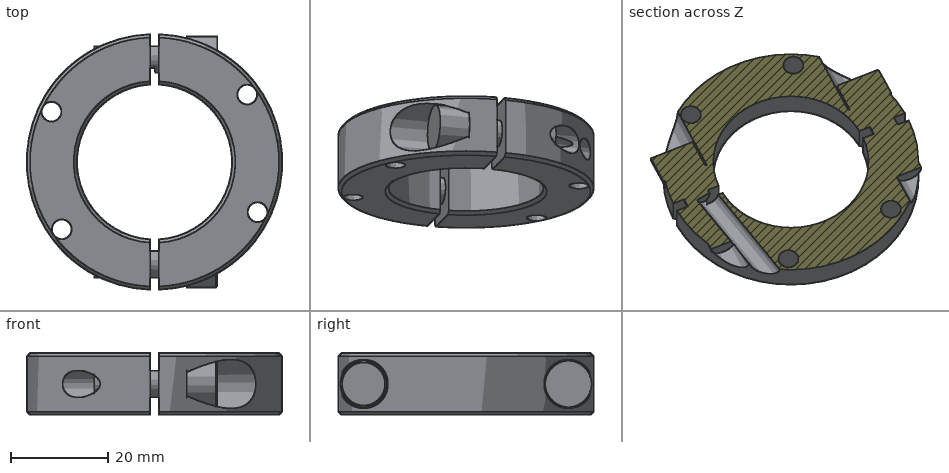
import cadquery as cq
import math

outer_radius = 26.225
bore_radius = 15.875
collar_width = 12.7
edge_chamfer = 0.7
split_gap = 1.8

screw_offset = 21.0
screw_diameter = 5.5
screw_tip_x = -12.4
head_diameter = 9.5
head_seat_x = 6.6
head_length = 6.3
head_chamfer = 0.35
counterbore_diameter = 10.0

face_hole_diameter = 4.0
face_hole_radius = 23.5
face_hole_angles = (36, 154, 216, 334)

cross_hole_diameter = 4.2
cross_hole_tilt = 10
cross_hole_end = (0, 19.2, 0)

reach = 2 * outer_radius


def x_cylinder(diameter, start_x, length, y):
    """Cylinder along +X that starts at start_x, at height Z = 0."""
    plane = cq.Plane(origin=(start_x, y, 0), xDir=(0, 1, 0), normal=(1, 0, 0))
    return cq.Workplane(plane).circle(diameter / 2).extrude(length)


def make_split_ring():
    ring = (
        cq.Workplane("XY")
        .circle(outer_radius)
        .circle(bore_radius)
        .extrude(collar_width / 2, both=True)
        .faces("|Z")
        .edges()
        .chamfer(edge_chamfer)
    )
    gap = cq.Workplane("XY").box(split_gap, reach, collar_width)
    return ring.cut(gap)


def cut_face_holes(body):
    points = []
    for angle in face_hole_angles:
        x = face_hole_radius * math.cos(math.radians(angle))
        y = face_hole_radius * math.sin(math.radians(angle))
        points.append((x, y))
    holes = (
        cq.Workplane("XY")
        .pushPoints(points)
        .circle(face_hole_diameter / 2)
        .extrude(collar_width / 2, both=True)
    )
    return body.cut(holes)


def cut_screw_passage(body, y):
    """Shank hole out through the -X side and head counterbore out through the +X side."""
    shank_hole = x_cylinder(screw_diameter, -reach, reach + head_seat_x, y)
    counterbore = x_cylinder(counterbore_diameter, head_seat_x, reach, y)
    return body.cut(shank_hole).cut(counterbore)


def make_screw(y, chamfer_head):
    shank = x_cylinder(screw_diameter, screw_tip_x, head_seat_x - screw_tip_x, y)
    head = x_cylinder(head_diameter, head_seat_x, head_length, y)
    if chamfer_head:
        head = head.faces(">X").edges().chamfer(head_chamfer)
    return shank.union(head)


def cut_cross_hole(body):
    tilt = math.radians(cross_hole_tilt)
    outward = (-math.cos(tilt), -math.sin(tilt), 0)
    plane = cq.Plane(origin=cross_hole_end, xDir=(0, 0, 1), normal=outward)
    hole = cq.Workplane(plane).circle(cross_hole_diameter / 2).extrude(reach)
    return body.cut(hole)


collar = cut_face_holes(make_split_ring())
for screw_y in (-screw_offset, screw_offset):
    collar = cut_screw_passage(collar, screw_y)
    collar = collar.union(make_screw(screw_y, chamfer_head=screw_y < 0))

result = cut_cross_hole(collar)